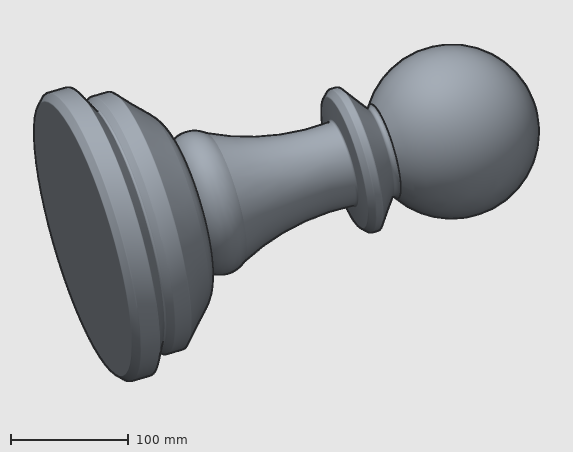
import cadquery as cq
import math


overall_height = 408.27

foot_radius = 127.75
foot_chamfer = 6.0
foot_rim_top = 23.4

groove_radius = 110.5
groove_bottom = 33.6
groove_top = 36.2
groove_depth = 0.6

band_radius = 114.2
band_bottom = 41.9
band_top = 56.6
crown_start_radius = 87.1
crown_start_height = 83.1
crown_top = 93.0

bulb_base_radius = 52.0
bulb_max_radius = 63.0
bulb_max_height = 112.1
bulb_top_radius = 57.6
bulb_top_height = 127.5

stem_mid_radius = 39.9
stem_mid_height = 181.0
stem_top_radius = 37.0
stem_top_height = 233.4

collar_root_radius = 39.3
collar_root_height = 235.4
collar_under_radius = 58.5
collar_under_height = 236.9
collar_radius = 63.7
rim_bottom = 242.4
rim_top = 248.8

neck_bottom_radius = 40.9
neck_bottom_height = 266.5
neck_waist_radius = 39.4

head_radius = 74.3
head_center = overall_height - head_radius
neck_top_height = 272.6
neck_top_radius = math.sqrt(head_radius**2 - (head_center - neck_top_height) ** 2)
neck_waist_height = (neck_bottom_height + neck_top_height) / 2


edge_round = 1.5
rounded_edge_heights = (
    0,
    foot_chamfer,
    foot_rim_top,
    band_bottom,
    band_top,
    collar_under_height,
    rim_bottom,
    rim_top,
)
height_tolerance = 0.01


def arc_end_tangent_to_flat(start_radius, rise, slope_angle):
    """Return the radius of an arc that leaves a cone tangentially, and how far out its level end lies."""
    arc_radius = rise / (1 - math.cos(slope_angle))
    return arc_radius, start_radius - arc_radius * math.sin(slope_angle)


def add_base(profile):
    """Foot, groove and shoulder, ending on the level top of the crown."""
    cone_angle = math.atan2(crown_start_height - band_top, band_radius - crown_start_radius)
    crown_rise = crown_top - crown_start_height
    arc_radius, crown_end_radius = arc_end_tangent_to_flat(crown_start_radius, crown_rise, cone_angle)
    half_angle = cone_angle / 2
    crown_mid = (
        crown_end_radius + arc_radius * math.sin(half_angle),
        crown_top - arc_radius * (1 - math.cos(half_angle)),
    )
    groove_mid = (groove_radius - groove_depth, (groove_bottom + groove_top) / 2)
    return (
        profile.lineTo(foot_radius - foot_chamfer, 0)
        .lineTo(foot_radius, foot_chamfer)
        .lineTo(foot_radius, foot_rim_top)
        .lineTo(groove_radius, groove_bottom)
        .threePointArc(groove_mid, (groove_radius, groove_top))
        .lineTo(band_radius, band_bottom)
        .lineTo(band_radius, band_top)
        .lineTo(crown_start_radius, crown_start_height)
        .threePointArc(crown_mid, (crown_end_radius, crown_top))
    )


def add_stem(profile):
    """Rounded bulb and the concave stem above it."""
    return (
        profile.lineTo(bulb_base_radius, crown_top)
        .threePointArc((bulb_max_radius, bulb_max_height), (bulb_top_radius, bulb_top_height))
        .threePointArc((stem_mid_radius, stem_mid_height), (stem_top_radius, stem_top_height))
    )


def add_collar(profile):
    """Collar with its root fillet, rim and conical top."""
    root_sag = 1 - math.sqrt(0.5)
    root_mid = (
        stem_top_radius + root_sag * (collar_root_radius - stem_top_radius),
        collar_root_height - root_sag * (collar_root_height - stem_top_height),
    )
    return (
        profile.threePointArc(root_mid, (collar_root_radius, collar_root_height))
        .lineTo(collar_under_radius, collar_under_height)
        .lineTo(collar_radius, rim_bottom)
        .lineTo(collar_radius, rim_top)
        .lineTo(neck_bottom_radius, neck_bottom_height)
    )


def add_head(profile):
    """Concave neck and the spherical head, ending on the axis."""
    return (
        profile.threePointArc((neck_waist_radius, neck_waist_height), (neck_top_radius, neck_top_height))
        .threePointArc((head_radius, head_center), (0, overall_height))
    )


def round_edges(pawn, heights):
    """Round the circular edges that lie at the given heights."""
    for height in heights:
        slab = cq.selectors.BoxSelector(
            (-foot_radius, height - height_tolerance, -foot_radius),
            (foot_radius, height + height_tolerance, foot_radius),
        )
        pawn = pawn.edges("%CIRCLE").edges(slab).fillet(edge_round)
    return pawn


profile = cq.Workplane("XY").moveTo(0, 0)
profile = add_base(profile)
profile = add_stem(profile)
profile = add_collar(profile)
profile = add_head(profile)
pawn = profile.close().revolve(360, (0, 0, 0), (0, 1, 0))
result = round_edges(pawn, rounded_edge_heights)